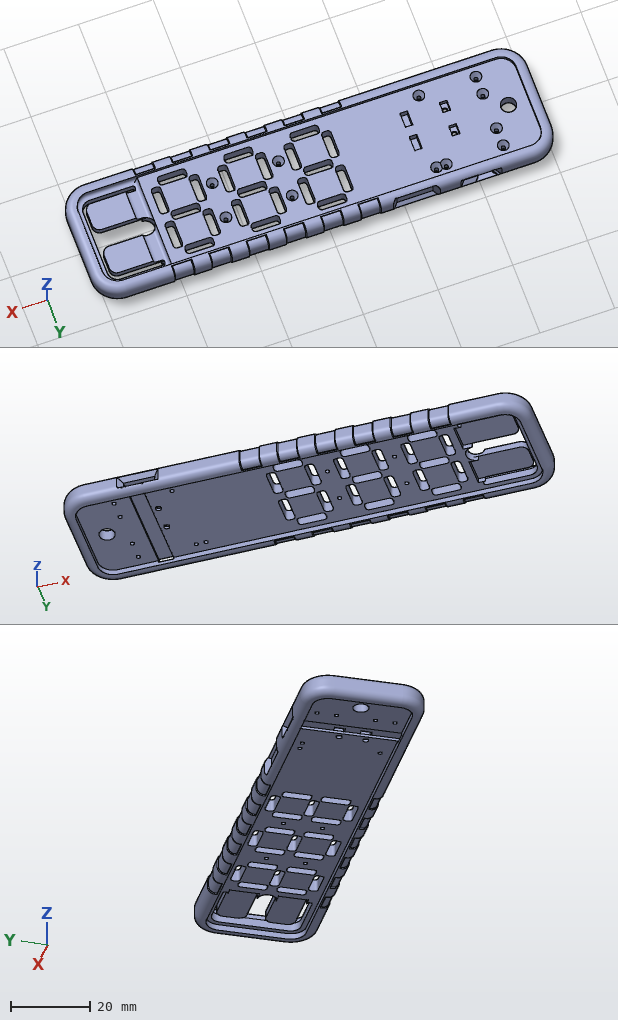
import cadquery as cq
LENGTH = 123.2
WIDTH = 31.8
HEIGHT = 5.9
CORNER_RADIUS = 7.0
EDGE_RADIUS = 2.0

RIM_WIDTH = 3.0
PANEL_DEPTH = 1.0
PANEL_Z = HEIGHT - PANEL_DEPTH
BOARD_POCKET_DEPTH = 1.6

GRID = 5.0

WINDOW_START_X = 41.4
WINDOW_LEDGE_Z = 3.8
WINDOW_LEDGE_WIDTH = 1.4
WINDOW_FOOT_RADIUS = 0.7
WINDOW_DROP = PANEL_Z - WINDOW_LEDGE_Z
SIDE_SLOT_START_X = 42.6
SIDE_SLOT_CORNER_RADIUS = 0.6
PAD_START_X = 44.4
PAD_END_X = 56.6
TONGUE_BOTTOM_Z = 3.0
PAD_CORNER_RADIUS = 2.0
BUTTON_OUTER_Y = 10.2
BUTTON_GAP = 4.9

DIGIT_COUNT = 3
FIRST_DIGIT_X = -2.5
DIGIT_PITCH = 17.7
SEGMENT_LENGTH = 7.5
SEGMENT_WIDTH = 2.5
SEGMENT_CORNER_RADIUS = 0.9

STRAP_HOLE_DIAMETER = 4.1
STRAP_HOLE_X = -53.4
LAMP_HOLE_DIAMETER = 1.01
LAMP_CONE_DIAMETER = 3.0
LAMP_CONE_DEPTH = 1.5
LEFT_LAMP_X = -48.3
MIDDLE_LAMP_X = -33.0
LAMP_PAIR_SPACING = 2.6

POCKET_WIDTH = 2.0
POCKET_DEPTH = 2.1
POCKET_CENTERS_Y = (1.8, -GRID)
SENSOR_POCKET_X = -38.2
SENSOR_POCKET_LENGTH = 2.8
SENSOR_HOLE_DIAMETER = 1.5
LABEL_POCKET_X = -27.9
LABEL_POCKET_LENGTH = 4.1

GROOVE_COUNT = 6
GROOVE_PITCH = 10.0
FIRST_GROOVE_X = -10.8
GROOVE_LENGTH = 5.4
GROOVE_DEPTH = 0.2
GROOVE_REACH = 2.5

PORT_START_X = -44.5
PORT_END_X = -36.2
PORT_BOTTOM_Z = 2.3
PORT_TOP_Z = 3.6
PORT_FLARE = 1.4
NOTCH_START_X = -43.9
NOTCH_END_X = -39.9
NOTCH_FLOOR_Z = 1.1
NOTCH_FLARE = 1.2

RECESS_CENTER_X = -23.0
RECESS_INNER_LENGTH = 9.6
RECESS_BOTTOM_Z = 1.6
RECESS_TOP_Z = 4.9
RECESS_FLARE = 1.5


def rounded_plate(inset, bottom_z, top_z):
    """Plate following the body outline, moved inward by the inset."""
    return (
        cq.Workplane("XY", origin=(0, 0, bottom_z))
        .rect(LENGTH - 2 * inset, WIDTH - 2 * inset)
        .extrude(top_z - bottom_z)
        .edges("|Z")
        .fillet(CORNER_RADIUS - inset)
    )


def block(start_x, end_x, start_y, end_y, bottom_z, top_z):
    """Box given by its limits along each axis."""
    return cq.Workplane("XY").box(
        end_x - start_x, end_y - start_y, top_z - bottom_z, centered=False
    ).translate((start_x, start_y, bottom_z))


def rounded_body():
    """Body envelope with rounded upper and lower edges."""
    return rounded_plate(0, 0, HEIGHT).faces("<Z or >Z").edges().fillet(EDGE_RADIUS)


def cross_section(inset):
    """Rounded outline of the body across its length, shrunk evenly by the inset."""
    return (
        cq.Sketch()
        .rect(WIDTH - 2 * inset, HEIGHT - 2 * inset)
        .vertices()
        .fillet(EDGE_RADIUS - inset)
    )


def grooved_core(start_x):
    """Stretch of body left inside one groove, with 45 degree ends."""
    full = cross_section(0)
    reduced = cross_section(GROOVE_DEPTH)
    bottom_length = GROOVE_LENGTH - 2 * GROOVE_DEPTH

    def at(offset):
        return cq.Location(cq.Vector(0, 0, offset))

    start = cq.Workplane("YZ", origin=(start_x, 0, HEIGHT / 2))
    entry = start.placeSketch(full, reduced.moved(at(GROOVE_DEPTH))).loft(ruled=True)
    middle = start.placeSketch(reduced.moved(at(GROOVE_DEPTH))).extrude(bottom_length)
    leaving = start.placeSketch(
        reduced.moved(at(GROOVE_DEPTH + bottom_length)),
        full.moved(at(GROOVE_LENGTH)),
    ).loft(ruled=True)
    return entry.union(middle).union(leaving)


def grip_groove(center_x):
    """Shallow groove with sloping ends, following both rounded sides."""
    start_x = center_x - GROOVE_LENGTH / 2
    half_width = WIDTH / 2
    inner_y = half_width - GROOVE_REACH
    band = block(start_x, start_x + GROOVE_LENGTH, -half_width, half_width, 0, HEIGHT)
    middle = block(start_x, start_x + GROOVE_LENGTH, -inner_y, inner_y, 0, HEIGHT)
    return band.cut(middle).cut(grooved_core(start_x))


def display_segments():
    """Seven through slots for each digit."""
    horizontal = []
    vertical = []
    for index in range(DIGIT_COUNT):
        x = FIRST_DIGIT_X + index * DIGIT_PITCH
        horizontal += [(x, y) for y in (-2 * GRID, 0, 2 * GRID)]
        vertical += [(x + dx, dy) for dx in (-GRID, GRID) for dy in (-GRID, GRID)]

    def slots(centers, size_x, size_y):
        return (
            cq.Workplane("XY")
            .pushPoints(centers)
            .rect(size_x, size_y)
            .extrude(HEIGHT)
            .edges("|Z")
            .fillet(SEGMENT_CORNER_RADIUS)
        )

    return slots(horizontal, SEGMENT_LENGTH, SEGMENT_WIDTH).add(
        slots(vertical, SEGMENT_WIDTH, SEGMENT_LENGTH)
    ).combine()


def lamp_centers():
    """Places of the countersunk lamp holes."""
    centers = [(LEFT_LAMP_X, row * GRID) for row in (-2, -1, 1, 2)]
    centers += [(MIDDLE_LAMP_X, -2 * GRID), (MIDDLE_LAMP_X, 2 * GRID)]
    centers.append((MIDDLE_LAMP_X + LAMP_PAIR_SPACING, 2 * GRID))
    for index in range(DIGIT_COUNT - 1):
        x = FIRST_DIGIT_X + (index + 0.5) * DIGIT_PITCH
        centers += [(x, -GRID), (x, GRID)]
    return centers


def lamp_hole(center):
    """Small through hole with a conical mouth at the panel face."""
    cone = cq.Workplane(
        cq.Solid.makeCone(
            LAMP_HOLE_DIAMETER / 2,
            LAMP_CONE_DIAMETER / 2,
            LAMP_CONE_DEPTH,
            pnt=cq.Vector(*center, PANEL_Z - LAMP_CONE_DEPTH),
        )
    )
    bore = cq.Workplane("XY").center(*center).circle(LAMP_HOLE_DIAMETER / 2).extrude(HEIGHT)
    return cone.union(bore)


def panel_pockets(x, length):
    """Pair of blind rectangular pockets."""
    return (
        cq.Workplane("XY", origin=(0, 0, PANEL_Z - POCKET_DEPTH))
        .pushPoints([(x, y) for y in POCKET_CENTERS_Y])
        .rect(POCKET_WIDTH, length)
        .extrude(HEIGHT)
    )


def window_recess():
    """Sunken area around the buttons, with concave feet along the rim and the panel edge."""
    outline = rounded_plate(RIM_WIDTH, WINDOW_LEDGE_Z, HEIGHT)
    bowl = outline.faces("<Z").edges().fillet(WINDOW_FOOT_RADIUS)
    far_x = LENGTH / 2
    window_side = (
        cq.Workplane("XZ")
        .moveTo(WINDOW_START_X, HEIGHT)
        .lineTo(WINDOW_START_X, PANEL_Z)
        .radiusArc((WINDOW_START_X + WINDOW_DROP, WINDOW_LEDGE_Z), -WINDOW_DROP)
        .lineTo(far_x, WINDOW_LEDGE_Z)
        .lineTo(far_x, HEIGHT)
        .close()
        .extrude(WIDTH / 2, both=True)
    )
    return bowl.intersect(window_side)


def button_clearance():
    """Through opening around and between the two button tongues."""
    opening = rounded_plate(RIM_WIDTH + WINDOW_LEDGE_WIDTH, 0, HEIGHT)
    opening = opening.intersect(block(SIDE_SLOT_START_X, LENGTH / 2, -WIDTH / 2, WIDTH / 2, 0, HEIGHT))
    for side in (-1, 1):
        opening = opening.cut(button_outline(side))
    gap_length = PAD_END_X - WINDOW_START_X
    half_gap = BUTTON_GAP / 2
    opening = opening.cut(block(WINDOW_START_X, PAD_START_X, -half_gap, half_gap, 0, HEIGHT))
    opening = opening.edges("|Z and <X").fillet(SIDE_SLOT_CORNER_RADIUS)
    gap = (
        cq.Workplane("XY")
        .center(WINDOW_START_X + gap_length / 2, 0)
        .slot2D(gap_length, BUTTON_GAP)
        .extrude(HEIGHT)
    )
    return opening.union(gap)


def button_outline(side):
    """Full-height tongue with rounded free corners."""
    button_width = BUTTON_OUTER_Y - BUTTON_GAP / 2
    center_y = side * (BUTTON_OUTER_Y + BUTTON_GAP / 2) / 2
    return (
        block(WINDOW_START_X, PAD_END_X, center_y - button_width / 2, center_y + button_width / 2, 0, HEIGHT)
        .edges("|Z and >X")
        .fillet(PAD_CORNER_RADIUS)
    )


def tongue_relief(side):
    """Clearance that thins a button from below so that it can flex."""
    below = block(0, LENGTH / 2, -WIDTH / 2, WIDTH / 2, 0, TONGUE_BOTTOM_Z)
    return button_outline(side).intersect(below)


def button_pad(side):
    """Thick part of a button, rising level with the panel from a concave foot."""
    profile = (
        cq.Workplane("XZ")
        .moveTo(PAD_START_X, WINDOW_LEDGE_Z)
        .radiusArc((PAD_START_X + WINDOW_DROP, PANEL_Z), -WINDOW_DROP)
        .lineTo(PAD_END_X, PANEL_Z)
        .lineTo(PAD_END_X, WINDOW_LEDGE_Z)
        .close()
        .extrude(WIDTH / 2, both=True)
    )
    return profile.intersect(button_outline(side))


def flared_mouth(start_x, end_x, bottom_z, top_z, flare):
    """Mouth on the rear side, widening outward at 45 degrees."""
    center = ((start_x + end_x) / 2, WIDTH / 2, (bottom_z + top_z) / 2)
    length = end_x - start_x
    height = top_z - bottom_z
    return (
        cq.Workplane("XZ", origin=center)
        .rect(length + 2 * flare, height + 2 * flare)
        .workplane(offset=flare)
        .rect(length, height)
        .loft(ruled=True)
    )


def port_notch():
    """Lower step of the connector opening on the rear side, flared sideways only."""
    outer_y = WIDTH / 2
    return (
        cq.Workplane("XY", origin=(0, 0, NOTCH_FLOOR_Z))
        .moveTo(NOTCH_START_X - NOTCH_FLARE, outer_y)
        .lineTo(NOTCH_END_X + NOTCH_FLARE, outer_y)
        .lineTo(NOTCH_END_X, outer_y - NOTCH_FLARE)
        .lineTo(NOTCH_END_X, 0)
        .lineTo(NOTCH_START_X, 0)
        .lineTo(NOTCH_START_X, outer_y - NOTCH_FLARE)
        .close()
        .extrude(PORT_BOTTOM_Z - NOTCH_FLOOR_Z)
    )


def connector_opening():
    """Straight passage across the body with a stepped, flared mouth on each side."""
    half_width = WIDTH / 2
    passage = block(PORT_START_X, PORT_END_X, -half_width, half_width, PORT_BOTTOM_Z, PORT_TOP_Z)
    mouth = flared_mouth(PORT_START_X, PORT_END_X, PORT_BOTTOM_Z, PORT_TOP_Z, PORT_FLARE).union(port_notch())
    return passage.union(mouth).union(mouth.mirror("XZ"))


def rear_recess():
    """Shallow flared recess in the rear side."""
    return flared_mouth(
        RECESS_CENTER_X - RECESS_INNER_LENGTH / 2,
        RECESS_CENTER_X + RECESS_INNER_LENGTH / 2,
        RECESS_BOTTOM_Z,
        RECESS_TOP_Z,
        RECESS_FLARE,
    )


body = rounded_body()
for groove_index in range(GROOVE_COUNT):
    body = body.cut(grip_groove(FIRST_GROOVE_X + groove_index * GROOVE_PITCH))
body = body.cut(rounded_plate(RIM_WIDTH, PANEL_Z, HEIGHT))
body = body.cut(rounded_plate(RIM_WIDTH, 0, BOARD_POCKET_DEPTH))

body = body.cut(display_segments())
body = body.cut(cq.Workplane("XY").center(STRAP_HOLE_X, 0).circle(STRAP_HOLE_DIAMETER / 2).extrude(HEIGHT))
for lamp_center in lamp_centers():
    body = body.cut(lamp_hole(lamp_center))
body = body.cut(panel_pockets(SENSOR_POCKET_X, SENSOR_POCKET_LENGTH))
body = body.cut(panel_pockets(LABEL_POCKET_X, LABEL_POCKET_LENGTH))
body = body.cut(
    cq.Workplane("XY")
    .pushPoints([(SENSOR_POCKET_X, y) for y in POCKET_CENTERS_Y])
    .circle(SENSOR_HOLE_DIAMETER / 2)
    .extrude(HEIGHT)
)

body = body.cut(window_recess())
body = body.cut(button_clearance())
for button_side in (-1, 1):
    body = body.cut(tongue_relief(button_side))
    body = body.union(button_pad(button_side))

body = body.cut(connector_opening())
body = body.cut(rear_recess())

result = body.translate((0, 0, -HEIGHT / 2))